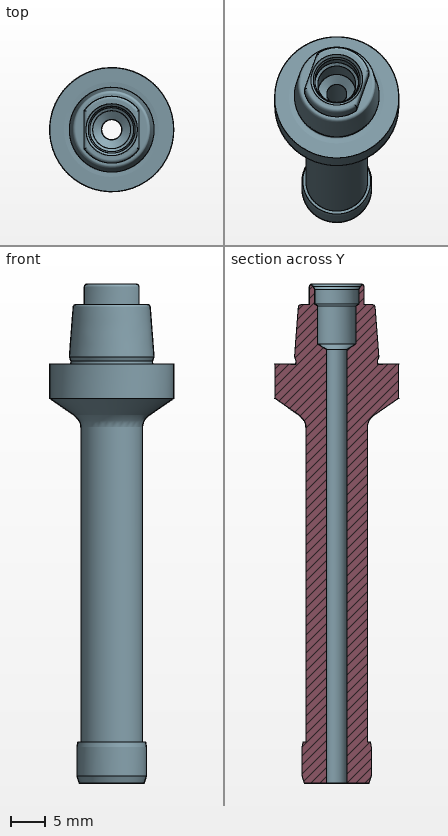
import cadquery as cq

total_height = 71.45
shoulder_z = 68.5
taper_bottom_z = 61.0
flange_top_z = 60.0
flange_bottom_z = 55.1
collar_top_z = 5.9

head_radius = 4.8
taper_top_radius = 5.5
taper_bottom_radius = 6.1
flange_radius = 17.8 / 2
shaft_radius = 4.4
collar_radius = 5.0
collar_top_radius = 4.85
collar_bottom_radius = 4.65

flat_distance = 3.9
head_edge_fillet = 0.465
shoulder_fillet = 0.4

relief_radius = 5.85
relief_top_z = 60.45
relief_floor_z = 59.95
relief_outer_radius = 6.8
relief_fillet = 0.2

neck_corner_z = 52.0
neck_fillet = 2.1
collar_chamfer_height = 1.1
collar_taper_height = 0.8

mouth_radius = 3.7
lead_in_radius = 3.35
socket_radius = 3.15
pilot_radius = 2.7
through_radius = 1.4
mouth_depth = 0.35
lead_in_depth = 0.8
socket_depth = 2.85
seat_depth = 3.15
pilot_depth = 8.6
drill_tip_depth = 0.8


def rim(body, radius, height):
    """Pick the outermost circular edge within the given radius at the given height."""
    margin = 0.01
    low = (-radius - margin, -radius - margin, height - margin)
    high = (radius + margin, radius + margin, height + margin)
    box = cq.selectors.BoxSelector(low, high, boundingbox=True)
    return body.edges(box).edges(cq.selectors.RadiusNthSelector(-1))


def revolve_profile(points):
    """Revolve a closed (radius, height) outline about the Z axis."""
    return cq.Workplane("XZ").polyline(points).close().revolve(360, (0, 0), (0, 1))


def make_body():
    """Turned outside from the bottom collar up to the taper shoulder."""
    body = revolve_profile([
        (0, 0),
        (collar_bottom_radius, 0),
        (collar_radius, collar_chamfer_height),
        (collar_radius, collar_top_z - collar_taper_height),
        (collar_top_radius, collar_top_z),
        (shaft_radius, collar_top_z),
        (shaft_radius, neck_corner_z),
        (flange_radius, flange_bottom_z),
        (flange_radius, flange_top_z),
        (relief_outer_radius, flange_top_z),
        (relief_radius, relief_floor_z),
        (relief_radius, relief_top_z),
        (taper_bottom_radius, taper_bottom_z),
        (taper_top_radius, shoulder_z),
        (0, shoulder_z),
    ])
    body = rim(body, shaft_radius, neck_corner_z).fillet(neck_fillet)
    body = rim(body, relief_radius, relief_floor_z).fillet(relief_fillet)
    return rim(body, taper_top_radius, shoulder_z).fillet(shoulder_fillet)


def make_head():
    """Round head with two wrench flats facing -X and +X and a rounded top edge."""
    head_height = total_height - shoulder_z
    base = cq.Workplane("XY").workplane(offset=shoulder_z)
    head = base.circle(head_radius).extrude(head_height)
    across_flats = base.rect(2 * flat_distance, 2 * head_radius).extrude(head_height)
    return head.intersect(across_flats).faces(">Z").edges().fillet(head_edge_fillet)


def make_bore():
    """Stepped bore with a chamfered mouth, a conical seat and a through hole."""
    return revolve_profile([
        (0, 0),
        (through_radius, 0),
        (through_radius, total_height - pilot_depth - drill_tip_depth),
        (pilot_radius, total_height - pilot_depth),
        (pilot_radius, total_height - seat_depth),
        (socket_radius, total_height - socket_depth),
        (socket_radius, total_height - lead_in_depth),
        (lead_in_radius, total_height - mouth_depth),
        (mouth_radius, total_height),
        (0, total_height),
    ])


result = make_body().union(make_head()).cut(make_bore())